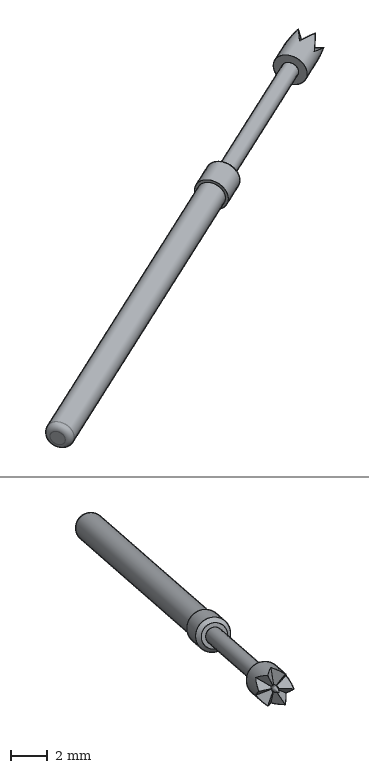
import cadquery as cq
import math

TOTAL_LENGTH = 37.8
HEAD_START = 34.8
COLLAR_LENGTH = 2.0
COLLAR_END = 25.0
SPIKE_PROJECTION = 0.5

HEAD_RADIUS = 1.0
COLLAR_RADIUS = 1.0
BARREL_RADIUS = 0.83
PLUNGER_RADIUS = 0.5

COLLAR_CHAMFER = 0.25
TAIL_FILLET = 0.38

TOOTH_COUNT = 6
VALLEY_DEPTH = 1.1
CENTER_DEPTH = 0.45
SPIKE_RADIUS = 0.18
SPIKE_LENGTH = 0.7

TOOTH_TIP = TOTAL_LENGTH - SPIKE_PROJECTION
COLLAR_START = COLLAR_END - COLLAR_LENGTH


def cylinder(radius, start, end):
    """Round bar on the Y axis between two stations."""
    return cq.Workplane("XZ", origin=(0, start, 0)).circle(radius).extrude(start - end)


def make_barrel():
    """Barrel tube with a rounded tail and a chamfered collar at its mouth."""
    tube = cylinder(BARREL_RADIUS, 0, COLLAR_START).faces("<Y").edges().fillet(TAIL_FILLET)
    collar = cylinder(COLLAR_RADIUS, COLLAR_START, COLLAR_END).faces(">Y").chamfer(COLLAR_CHAMFER)
    return tube.union(collar)


def make_valley_cutter():
    """V prism along a valley line that falls from the axis to the rim on the +Z side."""
    fall = (VALLEY_DEPTH - CENTER_DEPTH) / HEAD_RADIUS
    half_pitch = math.pi / TOOTH_COUNT
    ridge_rise = CENTER_DEPTH / HEAD_RADIUS
    wall_rise = (ridge_rise + fall * math.cos(half_pitch)) / math.sin(half_pitch)
    height = 4 * HEAD_RADIUS
    reach = 2 * HEAD_RADIUS
    half_width = height / wall_rise
    bottom = TOOTH_TIP - CENTER_DEPTH
    valley = cq.Vector(0, -fall, 1) * reach
    corners = [
        cq.Vector(0, bottom, 0),
        cq.Vector(half_width, bottom + height, 0),
        cq.Vector(-half_width, bottom + height, 0),
    ]
    start = cq.Wire.makePolygon(corners, close=True).translate(-valley)
    return cq.Solid.extrudeLinear(start, [], valley * 2)


def make_head():
    """Serrated head: a ring of pointed teeth around a taller conical spike on a short post."""
    head = cylinder(HEAD_RADIUS, HEAD_START, TOOTH_TIP)
    cutter = make_valley_cutter()
    for index in range(TOOTH_COUNT):
        angle = index * 360 / TOOTH_COUNT
        head = head.cut(cq.Workplane(cutter.rotate(cq.Vector(), cq.Vector(0, 1, 0), angle)))
    cone_base = TOTAL_LENGTH - SPIKE_LENGTH
    post = cylinder(SPIKE_RADIUS, HEAD_START, cone_base)
    spike = cq.Solid.makeCone(
        SPIKE_RADIUS, 0, SPIKE_LENGTH, cq.Vector(0, cone_base, 0), cq.Vector(0, 1, 0)
    )
    return head.union(post).union(cq.Workplane(spike))


plunger = cylinder(PLUNGER_RADIUS, COLLAR_START, HEAD_START)
result = make_barrel().union(plunger).union(make_head())